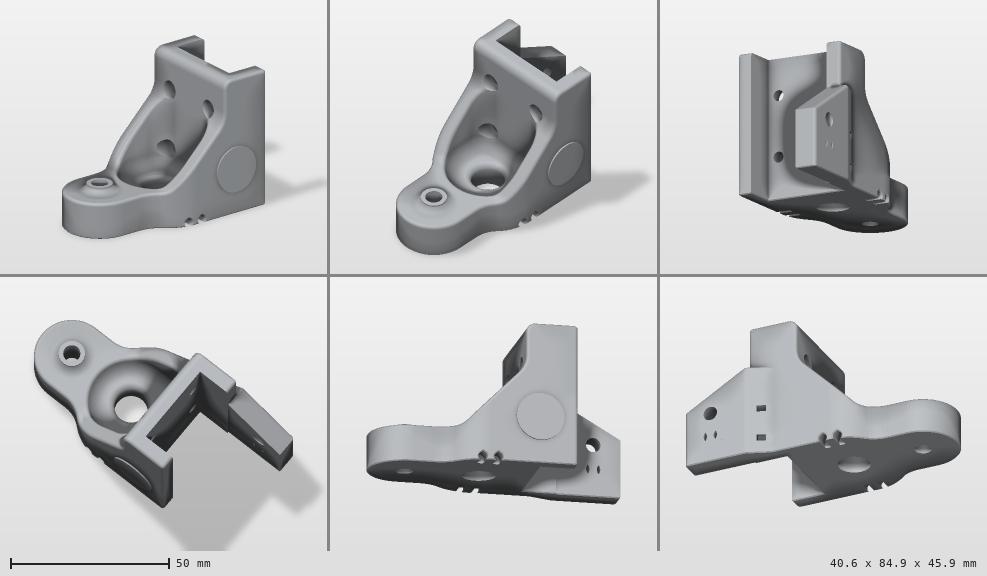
import cadquery as cq
import math


half_width = 18.6
height = 45.9
back_y = 28.0
wall_front_y = 11.5
edge_round = 1.0
foot_chamfer = 0.3
overcut = 0.85

corner_radius = 15.0
nose_radius = 12.0
nose_y = -24.0
neck_radius = 10.0

base_height = 12.0
slope_rise = 20.55
top_round = 3.0
upper_bend = 8.0
lower_bend = 5.0

recess_half_width = 13.7
recess_front_y = 17.0

pocket_radius = 13.6
pocket_corner = 6.0
pocket_floor = 8.0
pocket_fillet = 4.0
bore_diameter = 10.5
bore_round = 2.0

screw_spacing = 20.0
screw_center_z = 23.85
screw_diameter = 3.6
screw_head_diameter = 6.0
screw_head_depth = 3.0
screw_head_reach = 5.95

boss_height = 2.3
boss_radius = 4.2
boss_flare_radius = 7.05
boss_flare_height = 1.8
boss_flare_arc = 3.2
boss_hole_diameter = 5.4

pad_diameter = 15.4
pad_thickness = 0.5
pad_y = 15.9
pad_z = 15.1

arm_outer_x = -21.5
arm_inner_x = -14.2
arm_end_y = 48.9
arm_height = 31.0
arm_slope_start_y = 28.3
arm_slope_angle = 30
flare_angle = 20
flare_back_y = 27.9
flare_front_y = flare_back_y - (-half_width - arm_outer_x) / math.tan(math.radians(flare_angle))
flare_outer_bend = 3.0
flare_inner_bend = 6.0
flare_top_fillet = 0.8

arm_hole_diameter = 4.7
arm_hole_y = 40.1
arm_hole_z = 17.0
lobe_z = 9.0
lobe_pitch = 3.5
plug_gap_diameter = 4.6

tie_width = 3.0
tie_thickness = 2.1
tie_radius = 5.3
tie_center_offset = 0.5
tie_y = 23.1
tie_z = 10.6

teardrop_radius = 1.45
teardrop_pitch = 5.0
teardrop_z = 1.1
teardrop_peak_angle = 55
teardrop_depth = 5.0
teardrop_chamfer = 0.3
edge_tolerance = 0.01


def box(x0, x1, y0, y1, z0, z1):
    return cq.Workplane("XY").box(x1 - x0, y1 - y0, z1 - z0, centered=False).translate((x0, y0, z0))


def cylinder_along_x(diameter, x0, x1, y, z):
    return cq.Workplane("YZ", origin=(x0, y, z)).circle(diameter / 2).extrude(x1 - x0)


def cylinder_along_y(diameter, y0, y1, x, z):
    return cq.Workplane("XZ", origin=(x, y1, z)).circle(diameter / 2).extrude(y1 - y0)


def plan_outline():
    """Straight sides, rounded front corners and a concave neck into the round nose."""
    corner_x = half_width - corner_radius
    neck_x = nose_radius + neck_radius
    neck_y = -math.sqrt((corner_radius + neck_radius) ** 2 - (neck_x - corner_x) ** 2)
    corner_angle = math.atan2(neck_y, neck_x - corner_x)
    join_x = corner_x + corner_radius * math.cos(corner_angle)
    join_y = corner_radius * math.sin(corner_angle)
    mid_cos = math.cos(corner_angle / 2)
    mid_sin = math.sin(corner_angle / 2)
    corner_mid_x = corner_x + corner_radius * mid_cos
    corner_mid_y = corner_radius * mid_sin
    neck_mid_x = neck_x - neck_radius * mid_cos
    neck_mid_y = neck_y - neck_radius * mid_sin
    return (
        cq.Workplane("XY")
        .moveTo(half_width, back_y)
        .lineTo(half_width, 0)
        .threePointArc((corner_mid_x, corner_mid_y), (join_x, join_y))
        .threePointArc((neck_mid_x, neck_mid_y), (nose_radius, neck_y))
        .lineTo(nose_radius, nose_y)
        .threePointArc((0, nose_y - nose_radius), (-nose_radius, nose_y))
        .lineTo(-nose_radius, neck_y)
        .threePointArc((-neck_mid_x, neck_mid_y), (-join_x, join_y))
        .threePointArc((-corner_mid_x, corner_mid_y), (-half_width, 0))
        .lineTo(-half_width, back_y)
        .close()
    )


def side_profile():
    """Base plate, 45 degree slope and upright wall with all bends rounded."""
    front_y = nose_y - 2 * nose_radius
    prism = (
        cq.Workplane("YZ", origin=(-half_width - overcut, 0, 0))
        .polyline(
            [
                (back_y, 0),
                (back_y, height),
                (wall_front_y, height),
                (wall_front_y, slope_rise + wall_front_y),
                (base_height - slope_rise, base_height),
                (front_y, base_height),
                (front_y, 0),
            ]
        )
        .close()
        .extrude(2 * (half_width + overcut))
    )

    def bend(part, y, z, radius):
        return part.edges(cq.selectors.NearestToPointSelector((0, y, z))).fillet(radius)

    prism = bend(prism, wall_front_y, height, top_round)
    prism = bend(prism, wall_front_y, slope_rise + wall_front_y, upper_bend)
    return bend(prism, base_height - slope_rise, base_height, lower_bend)


def blank():
    """Outer shape with rounded edges, open at the back between the two rear walls."""
    part = plan_outline().extrude(height).intersect(side_profile())
    part = part.edges("(not(|X or |Z or <Z)) or (|Z and >Y) or (|X and >Y and >Z)").fillet(edge_round)
    recess_back_y = back_y + overcut
    recess_top_z = height + overcut
    recess = box(-recess_half_width, recess_half_width, recess_front_y, recess_back_y, -overcut, recess_top_z)
    return part.cut(recess)


def pocket():
    """Round-fronted pocket with rounded rear corners and a filleted floor."""
    return (
        cq.Workplane("XY", origin=(0, 0, pocket_floor))
        .moveTo(-pocket_radius, 0)
        .threePointArc((0, -pocket_radius), (pocket_radius, 0))
        .lineTo(pocket_radius, wall_front_y)
        .lineTo(-pocket_radius, wall_front_y)
        .close()
        .extrude(height)
        .edges("|Z and >Y")
        .fillet(pocket_corner)
        .faces("<Z")
        .edges()
        .fillet(pocket_fillet)
    )


def bore_cutter():
    """Through bore whose upper rim opens out in a quarter round."""
    radius = bore_diameter / 2
    return (
        cq.Workplane("XZ")
        .moveTo(0, 0)
        .lineTo(radius, 0)
        .lineTo(radius, pocket_floor - bore_round)
        .radiusArc((radius + bore_round, pocket_floor), bore_round)
        .lineTo(0, pocket_floor)
        .close()
        .revolve(360, (0, 0, 0), (0, 1, 0))
    )


def nose_boss():
    """Short collar standing on a concave flare."""
    flare_top = base_height + boss_flare_height
    return (
        cq.Workplane("XZ")
        .moveTo(0, base_height)
        .lineTo(boss_flare_radius, base_height)
        .radiusArc((boss_radius, flare_top), boss_flare_arc)
        .lineTo(boss_radius, base_height + boss_height)
        .lineTo(0, base_height + boss_height)
        .close()
        .revolve(360, (0, 0, 0), (0, 1, 0))
        .translate((0, nose_y, 0))
    )


def screw_cutters():
    """Four screw holes through the wall, each with a clearance for its head."""
    head_seat_y = wall_front_y + screw_head_depth
    cutters = cq.Workplane("XY")
    for x in (-screw_spacing / 2, screw_spacing / 2):
        for z in (screw_center_z - screw_spacing / 2, screw_center_z + screw_spacing / 2):
            shank = cylinder_along_y(screw_diameter, wall_front_y, back_y, x, z)
            head = cylinder_along_y(screw_head_diameter, head_seat_y - screw_head_reach, head_seat_y, x, z)
            cutters = cutters.add(shank).add(head)
    return cutters.combine()


def arm():
    """Flared plate behind the left wall, with a 30 degree sloping top."""
    end_height = arm_height - (arm_end_y - arm_slope_start_y) * math.tan(math.radians(arm_slope_angle))
    root_y = recess_front_y
    plan = (
        cq.Workplane("XY")
        .polyline(
            [
                (arm_outer_x, arm_end_y),
                (arm_outer_x, flare_back_y),
                (-half_width, flare_front_y),
                (-half_width, root_y),
                (arm_inner_x, root_y),
                (arm_inner_x, arm_end_y),
            ]
        )
        .close()
        .extrude(arm_height)
    )
    nearest = cq.selectors.NearestToPointSelector
    plan = plan.edges(nearest((arm_outer_x, flare_back_y, arm_height / 2))).fillet(flare_outer_bend)
    plan = plan.edges(nearest((-half_width, flare_front_y, arm_height / 2))).fillet(flare_inner_bend)
    level_part = plan.edges(nearest((arm_outer_x, (flare_back_y + arm_end_y) / 2, arm_height))).fillet(edge_round)
    peak_rise = (arm_slope_start_y - root_y) * math.tan(math.radians(arm_slope_angle))
    sloped_part = (
        cq.Workplane("YZ", origin=(arm_outer_x, 0, 0))
        .polyline([(root_y, 0), (root_y, arm_height + peak_rise), (arm_end_y, end_height), (arm_end_y, 0)])
        .close()
        .extrude(half_width)
        .faces("<X")
        .edges("not(<Y or <Z)")
        .fillet(edge_round)
    )
    return level_part.intersect(sloped_part)


def flare_fillet():
    """Concave fillet between the top of the flare and the wall, shrinking as the flare narrows.

    Its ball rolls against the wall and the rounded top edge of the flare, so the ball centre
    follows a quarter ellipse until the flare holds both radii, then a straight line.
    """
    full_width = edge_round + flare_top_fillet
    full_length = full_width / math.tan(math.radians(flare_angle))
    full_y = flare_front_y + full_length
    round_z = arm_height - edge_round
    ball_x = -half_width - flare_top_fillet
    ball_z = round_z + full_width
    inside_x = -half_width + edge_round

    def ball_path():
        return (
            cq.Workplane("YZ", origin=(ball_x, 0, 0))
            .moveTo(back_y, ball_z)
            .lineTo(full_y, ball_z)
            .ellipseArc(full_length, full_width, 90, 180, startAtCurrent=True, sense=1)
        )

    ball_section = cq.Workplane("XZ", origin=(ball_x, back_y, ball_z)).circle(flare_top_fillet)
    ball_track = ball_section.sweep(ball_path())
    low_z = round_z - edge_round
    under_path = ball_path().lineTo(flare_front_y, low_z).lineTo(back_y, low_z).close().extrude(full_width)
    contact_plan = (
        cq.Workplane("XY")
        .polyline(
            [
                (-half_width, flare_front_y),
                (ball_x, full_y),
                (ball_x, back_y),
                (inside_x, back_y),
                (inside_x, flare_front_y),
            ]
        )
        .close()
        .extrude(height)
    )
    return under_path.intersect(contact_plan).cut(ball_track)


def lobes(diameter):
    """Three overlapping round lobes through the arm."""
    shape = cq.Workplane("XY")
    for index in (-1, 0, 1):
        y = arm_hole_y + index * lobe_pitch
        shape = shape.union(cylinder_along_x(diameter, arm_outer_x, arm_inner_x, y, lobe_z))
    return shape


def lobe_gap(y):
    """Lens shared by two neighbouring lobes, centred between them."""
    left = cylinder_along_x(plug_gap_diameter, arm_outer_x, arm_inner_x, y + lobe_pitch / 2, lobe_z)
    right = cylinder_along_x(plug_gap_diameter, arm_outer_x, arm_inner_x, y - lobe_pitch / 2, lobe_z)
    return left.intersect(right)


def arm_plug():
    """Three-lobed plug filling the matching hole in the arm, open where its lobes overlap."""
    plug = lobes(arm_hole_diameter)
    for side in (-1, 1):
        plug = plug.cut(lobe_gap(arm_hole_y + side * lobe_pitch / 2))
    return plug


def tie_channel():
    """Ring with a rectangular section, curving in and out through the flare face."""
    face_x = -half_width - (tie_y - flare_front_y) * math.tan(math.radians(flare_angle))
    ring = (
        cq.Workplane("XZ", origin=(-tie_center_offset, tie_width / 2, 0))
        .circle(tie_radius + tie_thickness / 2)
        .circle(tie_radius - tie_thickness / 2)
        .extrude(tie_width)
    )
    return ring.rotate((0, 0, 0), (0, 0, 1), flare_angle).translate((face_x, tie_y, tie_z))


def teardrop(y):
    """Round hole with a peaked top, running along X through both sides of the bracket."""
    peak_angle = math.radians(teardrop_peak_angle)
    flank_y = teardrop_radius * math.cos(peak_angle)
    flank_z = teardrop_radius * math.sin(peak_angle)
    return (
        cq.Workplane("YZ", origin=(-half_width, y, teardrop_z))
        .moveTo(-flank_y, flank_z)
        .threePointArc((0, -teardrop_radius), (flank_y, flank_z))
        .lineTo(0, teardrop_radius / math.sin(peak_angle))
        .close()
        .extrude(2 * half_width)
    )


def cut_teardrops(part):
    """Blind teardrop holes from both sides, each with a chamfered mouth."""
    floor_x = half_width - teardrop_depth
    core = box(-floor_x, floor_x, -half_width, half_width, -height, height)
    for y in (-teardrop_pitch / 2, teardrop_pitch / 2):
        part = part.cut(teardrop(y).cut(core))
    peak_z = teardrop_z + 2 * teardrop_radius
    for side in (-1, 1):
        mouths = cq.selectors.BoxSelector(
            (side * (floor_x + overcut), -teardrop_pitch, edge_tolerance),
            (side * (half_width + overcut), teardrop_pitch, peak_z),
        )
        part = part.edges(mouths).edges("not |X").chamfer(teardrop_chamfer)
    return part


def bracket():
    """The whole bracket, with its arm, boss, pad and holes."""
    nearest = cq.selectors.NearestToPointSelector
    part = blank().cut(screw_cutters()).cut(pocket())
    part = part.edges(nearest((0, -pocket_radius, base_height))).fillet(edge_round)
    part = part.union(arm()).union(flare_fillet())
    part = cut_teardrops(part)
    teardrop_zone = cq.selectors.BoxSelector(
        (-half_width, -teardrop_pitch, -overcut), (half_width, teardrop_pitch, overcut)
    )
    part = part.faces("<Z").edges(cq.selectors.InverseSelector(teardrop_zone)).chamfer(foot_chamfer)
    part = part.union(nose_boss()).cut(bore_cutter())
    part = part.cut(cq.Workplane("XY", origin=(0, nose_y, 0)).circle(boss_hole_diameter / 2).extrude(height))
    part = part.union(
        cylinder_along_x(pad_diameter, recess_half_width, half_width + pad_thickness, pad_y, pad_z)
    )
    part = part.cut(cylinder_along_x(arm_hole_diameter, arm_outer_x, arm_inner_x, arm_hole_y, arm_hole_z))
    return part.cut(lobes(arm_hole_diameter)).cut(tie_channel())


result = cq.Compound.makeCompound([bracket().val(), arm_plug().val()])